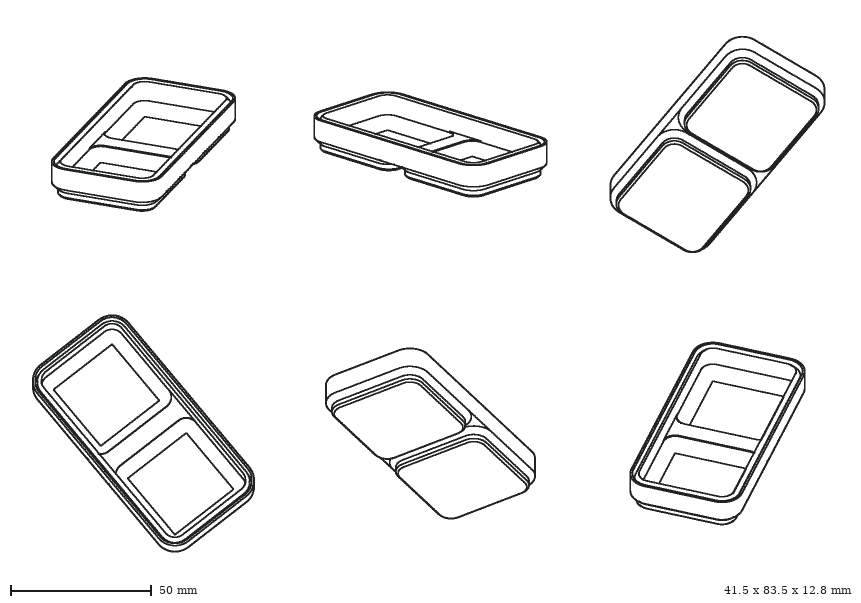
import cadquery as cq

cell_pitch = 42.0
cell_count = 2
cell_gap = 0.5
cell_size = cell_pitch - cell_gap
body_length = cell_pitch * cell_count - cell_gap
body_height = 12.75
corner_radius = 7.5

foot_chamfer = 0.8
foot_straight = 1.8
foot_flare = 2.15
foot_height = foot_chamfer + foot_straight + foot_flare

lip_thickness = 0.8
groove_width = 0.8
ridge_width = 1.5
ridge_slope_height = 1.8
ridge_inset = lip_thickness + groove_width
cavity_inset = ridge_inset + ridge_width

floor_height = 1.0
web_thickness = 1.0
web_height = foot_height + web_thickness
pocket_slope = 4.3
pocket_floor_inset = cavity_inset + pocket_slope


def profiled_block(length, profile):
    """Rounded block whose side wall follows a profile of (inset, height) points, bottom to top.

    All corners turn about the same vertical axes, so the block is two crossing
    prisms plus a quarter turn of the profile at each corner.
    """
    core_x = cell_size / 2 - corner_radius
    core_y = length / 2 - corner_radius
    reach = [(corner_radius - inset, height) for inset, height in profile]

    def prism(plane, core_half_width, core_half_depth):
        right = [(core_half_width + radius, height) for radius, height in reach]
        left = [(-across, height) for across, height in reversed(right)]
        return cq.Workplane(plane).polyline(right + left).close().extrude(core_half_depth, both=True)

    block = prism("XZ", core_x, core_y).union(prism("YZ", core_y, core_x))

    corner_angle = 90
    bottom, top = profile[0][1], profile[-1][1]
    axis_ends = [(0, top), (0, bottom)]
    outline = reach + axis_ends
    quarter = cq.Workplane("XZ").polyline(outline).close().revolve(corner_angle, (0, 0), (0, 1))
    corners = [(core_x, core_y), (-core_x, core_y), (-core_x, -core_y), (core_x, -core_y)]
    for turn, (x, y) in enumerate(corners):
        corner = quarter.rotate((0, 0, 0), (0, 0, 1), corner_angle * turn)
        block = block.union(corner.translate((x, y, 0)))
    return block


def foot():
    """Stepped foot of one cell: bottom chamfer, straight band and upper flare."""
    return profiled_block(cell_size, [
        (foot_flare + foot_chamfer, 0),
        (foot_flare, foot_chamfer),
        (foot_flare, foot_chamfer + foot_straight),
        (0, foot_height),
    ])


def pocket():
    """Cutter for one cell: 45 degree walls end in a short straight band below the web."""
    slope_top = floor_height + pocket_slope
    return profiled_block(cell_size, [
        (pocket_floor_inset, floor_height),
        (cavity_inset, slope_top),
        (cavity_inset, web_height),
    ])


def body():
    """Plain block above the feet, spanning all cells."""
    return profiled_block(body_length, [(0, foot_height), (0, body_height)])


def cavity():
    """Cutter for the open space shared by both cells above the web."""
    return profiled_block(body_length, [(cavity_inset, web_height), (cavity_inset, body_height)])


def rim_groove():
    """Cutter for the groove between the outer lip and the inner ridge."""
    slope_bottom = body_height - ridge_slope_height
    outside = profiled_block(body_length, [(lip_thickness, web_height), (lip_thickness, body_height)])
    ridge = profiled_block(body_length, [
        (ridge_inset, web_height),
        (ridge_inset, slope_bottom),
        (cavity_inset, body_height),
    ])
    return outside.cut(ridge)


cell_centers = [(index - (cell_count - 1) / 2) * cell_pitch for index in range(cell_count)]

result = body()
for center in cell_centers:
    result = result.union(foot().translate((0, center, 0)))
result = result.cut(cavity())
for center in cell_centers:
    result = result.cut(pocket().translate((0, center, 0)))
result = result.cut(rim_groove())